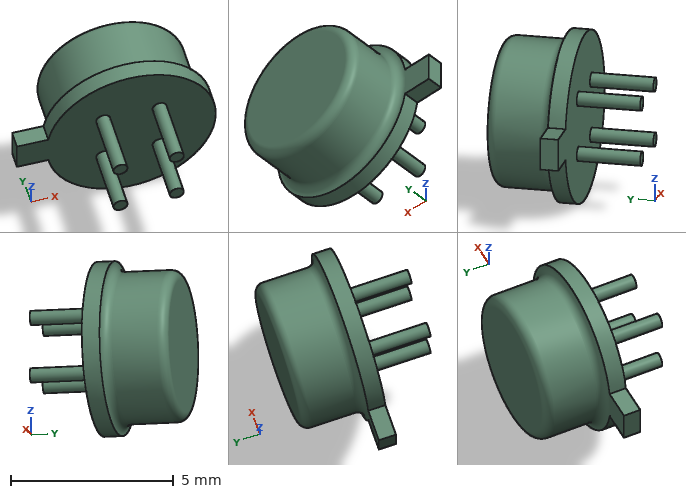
import cadquery as cq

flange_diameter = 5.4
flange_thickness = 0.56
tab_reach = 3.65
tab_width = 1.015

cap_diameter = 4.705
total_height = 2.6
bend_radius = 0.3

lead_diameter = 0.45
lead_length = 2.0
lead_spacing = 1.8



def make_body():
    """Flange and cap, turned in one piece about the Y axis."""
    flange_radius = flange_diameter / 2
    cap_radius = cap_diameter / 2
    foot_center = (cap_radius + bend_radius, flange_thickness + bend_radius)
    rim_center = (cap_radius - bend_radius, total_height - bend_radius)
    profile = (
        cq.Workplane("XY")
        .lineTo(flange_radius, 0)
        .lineTo(flange_radius, flange_thickness)
        .lineTo(foot_center[0], flange_thickness)
        .radiusArc((cap_radius, foot_center[1]), bend_radius)
        .lineTo(cap_radius, rim_center[1])
        .radiusArc((rim_center[0], total_height), -bend_radius)
        .lineTo(0, total_height)
        .close()
    )
    return profile.revolve(360, (0, 0, 0), (0, 1, 0))


def make_tab():
    """Bar from the can axis out to -X, as thick as the flange."""
    return cq.Workplane("XY").box(
        tab_reach, flange_thickness, tab_width, centered=(False, False, True)
    ).translate((-tab_reach, 0, 0))


def make_leads():
    """Four round leads on a square grid."""
    return (
        cq.Workplane("XZ")
        .rarray(lead_spacing, lead_spacing, 2, 2)
        .circle(lead_diameter / 2)
        .extrude(lead_length)
    )


result = make_body().union(make_tab()).union(make_leads())